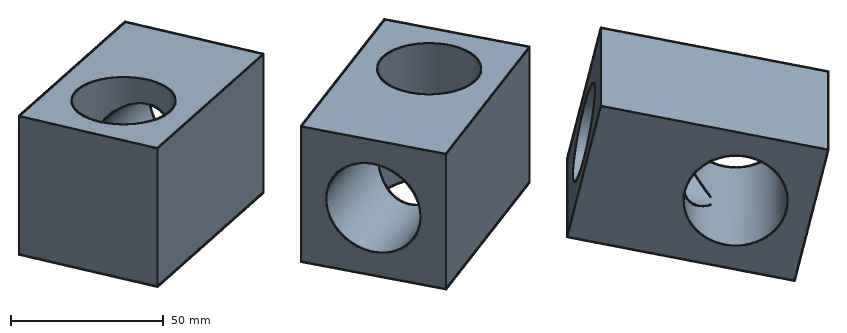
import cadquery as cq

length = 76.2
side = 50.8

bore_diameter = 34.0
bore_y = -length / 2 + side / 2

cross_bore_diameter = 33.0


def make_block():
    return cq.Workplane("XY").box(side, length, side)


def make_vertical_bore():
    return (
        cq.Workplane("XY")
        .center(0, bore_y)
        .circle(bore_diameter / 2)
        .extrude(side / 2, both=True)
    )


def make_cross_bore():
    """Slightly narrower bore from the back face to the axis of the vertical bore."""
    return (
        cq.Workplane("XZ", origin=(0, length / 2, 0))
        .circle(cross_bore_diameter / 2)
        .extrude(length / 2 - bore_y)
    )


result = make_block().cut(make_vertical_bore()).cut(make_cross_bore())